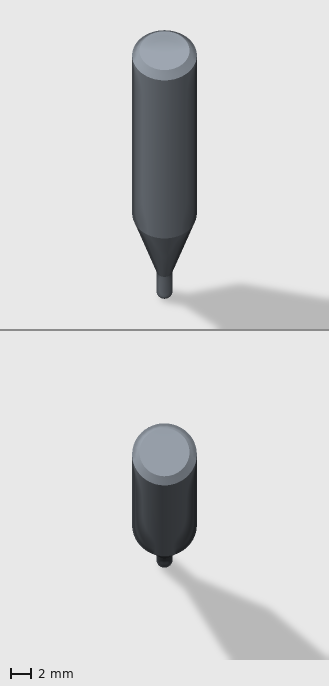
import cadquery as cq
import math

total_length = 38.1
shank_diameter = 6.35
end_chamfer = 0.72

ball_diameter = 1.6
cutting_length = 1.35
neck_end_height = 3.92
taper_angle = 15.0

shank_radius = shank_diameter / 2
ball_radius = ball_diameter / 2
cone_height = (shank_radius - ball_radius) / math.tan(math.radians(taper_angle))
shank_start_height = neck_end_height + cone_height


def revolve_about_z(profile):
    """Turn a closed half profile, drawn as (radius, height), into a solid."""
    return profile.close().revolve(360, (0, 0, 0), (0, 1, 0))


def make_cutting_tip():
    """Hemispherical nose with a short straight length above it."""
    arc_middle = ball_radius * math.sqrt(0.5)
    profile = (
        cq.Workplane("XZ")
        .moveTo(0, 0)
        .threePointArc((arc_middle, ball_radius - arc_middle), (ball_radius, ball_radius))
        .lineTo(ball_radius, cutting_length)
        .lineTo(0, cutting_length)
    )
    return revolve_about_z(profile)


def make_shank():
    """Straight neck, cone and cylindrical shank with a chamfered end."""
    profile = (
        cq.Workplane("XZ")
        .moveTo(0, cutting_length)
        .lineTo(ball_radius, cutting_length)
        .lineTo(ball_radius, neck_end_height)
        .lineTo(shank_radius, shank_start_height)
        .lineTo(shank_radius, total_length - end_chamfer)
        .lineTo(shank_radius - end_chamfer, total_length)
        .lineTo(0, total_length)
    )
    return revolve_about_z(profile)


cutting_tip = make_cutting_tip()
shank = make_shank()

result = cq.Compound.makeCompound([cutting_tip.val(), shank.val()])